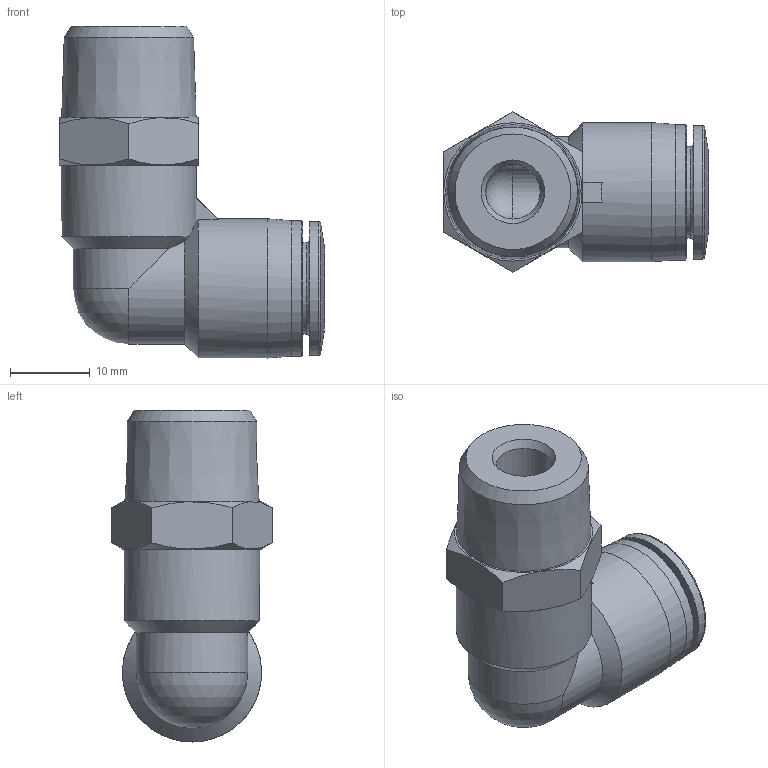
import cadquery as cq
import math


elbow_radius = 7.0
bore_radius = 6.86 / 2
bore_mouth_radius = 4.0
bore_mouth_depth = 1.0

stud_radius = 17.0 / 2
stud_cone_end = 6.5
stud_cone_start = stud_cone_end - (stud_radius - elbow_radius)
hex_bottom = 15.5
hex_top = 21.5
hex_across_corners = 20.16
hex_face_radius = 8.7
hex_chamfer_angle = math.radians(30)

stud_top = 33.0
thread_base_radius = 8.45
thread_chamfer_height = 1.5
thread_chamfer_angle = math.radians(30)
thread_diameter_taper = 1 / 16

port_radius = 17.5 / 2
port_cone_start = elbow_radius
port_cone_end = port_cone_start + (port_radius - elbow_radius)
port_taper_start = 17.44
port_taper_end = 20.45
port_end = 21.85
port_end_radius = 8.52
port_end_chamfer = 0.13

neck_radius = 11.53 / 2
neck_fillet = 0.38
collar_radius = 16.8 / 2
collar_start = 22.7
collar_rim_end = 23.85
collar_cone_start = 24.1
collar_end = 24.6
collar_face_radius = 5.1
collar_rim_round = 0.2

rib_width = 2.5
rib_reach = 19.9


def make_elbow():
    ball = cq.Workplane("XY").sphere(elbow_radius)
    upright = cq.Workplane("XY").circle(elbow_radius).extrude(stud_cone_end)
    sideways = cq.Workplane("YZ").circle(elbow_radius).extrude(port_cone_end)
    return ball.union(upright).union(sideways)


def make_stud():
    thread_shoulder = stud_top - thread_chamfer_height
    thread_tip_radius = thread_base_radius - (thread_shoulder - hex_top) * thread_diameter_taper / 2
    top_face_radius = thread_tip_radius - thread_chamfer_height * math.tan(thread_chamfer_angle)
    profile = [
        (0, stud_cone_start),
        (elbow_radius, stud_cone_start),
        (stud_radius, stud_cone_end),
        (stud_radius, hex_top),
        (thread_base_radius, hex_top),
        (thread_tip_radius, thread_shoulder),
        (top_face_radius, stud_top),
        (0, stud_top),
    ]
    return cq.Workplane("XZ").polyline(profile).close().revolve(360, (0, 0), (0, 1))


def make_hexagon():
    """Hexagon with corners on +Y and -Y, chamfered on both faces."""
    corner_radius = hex_across_corners / 2
    prism = (
        cq.Workplane("XY", origin=(0, 0, hex_bottom))
        .transformed(rotate=(0, 0, 90))
        .polygon(6, hex_across_corners)
        .extrude(hex_top - hex_bottom)
    )
    chamfer_drop = (corner_radius - hex_face_radius) * math.tan(hex_chamfer_angle)
    envelope_profile = [
        (0, hex_bottom),
        (hex_face_radius, hex_bottom),
        (corner_radius, hex_bottom + chamfer_drop),
        (corner_radius, hex_top - chamfer_drop),
        (hex_face_radius, hex_top),
        (0, hex_top),
    ]
    envelope = cq.Workplane("XZ").polyline(envelope_profile).close().revolve(360, (0, 0), (0, 1))
    return prism.intersect(envelope)


def make_port():
    """Sleeve and release collar, turned about the X axis."""
    fillet_mid_offset = neck_fillet * math.sqrt(0.5)
    fillet_middle = (
        collar_start - neck_fillet + fillet_mid_offset,
        neck_radius + neck_fillet - fillet_mid_offset,
    )
    return (
        cq.Workplane("XZ")
        .moveTo(port_cone_start, 0)
        .lineTo(port_cone_start, elbow_radius)
        .lineTo(port_cone_end, port_radius)
        .lineTo(port_taper_start, port_radius)
        .lineTo(port_taper_end, port_end_radius)
        .lineTo(port_end - port_end_chamfer, port_end_radius)
        .lineTo(port_end, port_end_radius - port_end_chamfer)
        .lineTo(port_end, neck_radius)
        .lineTo(collar_start - neck_fillet, neck_radius)
        .threePointArc(fillet_middle, (collar_start, neck_radius + neck_fillet))
        .lineTo(collar_start, collar_radius)
        .lineTo(collar_rim_end, collar_radius)
        .tangentArcPoint((collar_cone_start, collar_radius - collar_rim_round), relative=False)
        .lineTo(collar_end, collar_face_radius)
        .lineTo(collar_end, 0)
        .close()
        .revolve(360, (0, 0), (1, 0))
    )


def make_rib():
    outline = [
        (elbow_radius, elbow_radius),
        (rib_reach - elbow_radius, elbow_radius),
        (elbow_radius, rib_reach - elbow_radius),
    ]
    return cq.Workplane("XZ").polyline(outline).close().extrude(rib_width / 2, both=True)


def make_passage():
    """Flow bore from the stud's chamfered mouth, round the elbow and out of the port."""
    ball = cq.Workplane("XY").sphere(bore_radius)
    upright = cq.Workplane("XY").circle(bore_radius).extrude(stud_top)
    sideways = cq.Workplane("YZ").circle(bore_radius).extrude(collar_end)
    mouth_bottom = stud_top - bore_mouth_depth
    mouth_profile = [
        (0, stud_top),
        (bore_mouth_radius, stud_top),
        (bore_radius, mouth_bottom),
        (0, mouth_bottom),
    ]
    mouth = cq.Workplane("XZ").polyline(mouth_profile).close().revolve(360, (0, 0), (0, 1))
    return ball.union(upright).union(sideways).union(mouth)


body = make_elbow().union(make_stud()).union(make_hexagon()).union(make_port()).union(make_rib())
result = body.cut(make_passage())